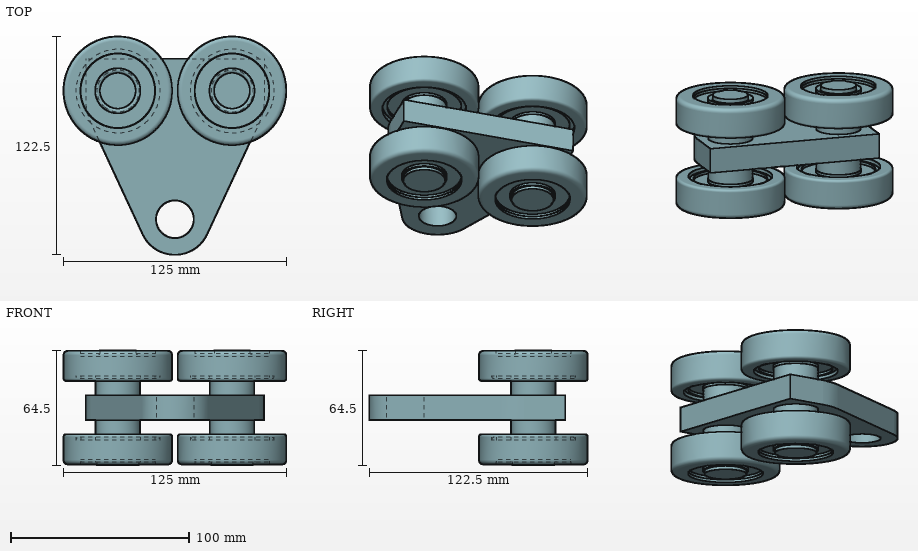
import cadquery as cq
import math

axle_spacing = 64.0
hole_below_axles = 72.0

plate_thickness = 14.0
plate_half_width = 50.0
plate_top_y = 18.0
shoulder_radius = 30.0
shoulder_center_y = -5.2
nose_radius = 20.0
hanger_hole_diameter = 21.0

wheel_diameter = 61.0
wheel_width = 17.0
wheel_inner_face_z = 14.9
outer_edge_radius = 2.5
inner_edge_radius = 1.5
lip_bore_diameter = 42.0

bearing_diameter = 47.0
bearing_width = 14.0
bearing_edge_radius = 1.5
outer_race_bore = 41.6
inner_race_diameter = 25.4
shield_depth = 1.5

pin_diameter = 20.0
pin_length = 64.5
spacer_diameter = 25.0
pin_head_diameter = 23.5

wheel_outer_face_z = wheel_inner_face_z + wheel_width
bearing_inner_face_z = wheel_inner_face_z + (wheel_width - bearing_width) / 2
bearing_outer_face_z = bearing_inner_face_z + bearing_width
pin_end_z = pin_length / 2


def cylinder(diameter, z_start, z_end):
    return cq.Workplane("XY").workplane(offset=z_start).circle(diameter / 2).extrude(z_end - z_start)


def ring(outer_diameter, inner_diameter, z_start, z_end):
    return cylinder(outer_diameter, z_start, z_end).cut(cylinder(inner_diameter, z_start, z_end))


def make_plate():
    """Triangular plate: square top corners, rounded shoulders and a rounded nose around the hole."""
    shoulder_center_x = plate_half_width - shoulder_radius
    drop = shoulder_center_y + hole_below_axles
    center_distance = math.hypot(shoulder_center_x, drop)

    normal_angle = math.atan2(drop, shoulder_center_x) - math.acos(
        (nose_radius - shoulder_radius) / center_distance
    )

    def on_shoulder(angle):
        return (
            shoulder_center_x + shoulder_radius * math.cos(angle),
            shoulder_center_y + shoulder_radius * math.sin(angle),
        )

    def mirrored(point):
        return (-point[0], point[1])

    shoulder_start = on_shoulder(0)
    shoulder_middle = on_shoulder(normal_angle / 2)
    shoulder_end = on_shoulder(normal_angle)
    nose_start = (
        nose_radius * math.cos(normal_angle),
        nose_radius * math.sin(normal_angle) - hole_below_axles,
    )
    nose_tip = (0, -hole_below_axles - nose_radius)
    top_corner = (plate_half_width, plate_top_y)

    outline = (
        cq.Workplane("XY")
        .workplane(offset=-plate_thickness / 2)
        .moveTo(*mirrored(top_corner))
        .lineTo(*top_corner)
        .lineTo(*shoulder_start)
        .threePointArc(shoulder_middle, shoulder_end)
        .lineTo(*nose_start)
        .threePointArc(nose_tip, mirrored(nose_start))
        .lineTo(*mirrored(shoulder_end))
        .threePointArc(mirrored(shoulder_middle), mirrored(shoulder_start))
        .close()
    )
    hole = cylinder(hanger_hole_diameter, -plate_thickness / 2, plate_thickness / 2)
    return outline.extrude(plate_thickness).cut(hole.translate((0, -hole_below_axles, 0)))


def make_wheel():
    """Upper wheel around the Z axis, with its bearing; the bore is filled to take the pin."""
    rim = (
        cylinder(wheel_diameter, wheel_inner_face_z, wheel_outer_face_z)
        .faces(">Z")
        .edges()
        .fillet(outer_edge_radius)
        .faces("<Z")
        .edges()
        .fillet(inner_edge_radius)
    )
    lip_recess = cylinder(lip_bore_diameter, bearing_outer_face_z, wheel_outer_face_z)
    bearing_seat = cylinder(bearing_diameter, wheel_inner_face_z, bearing_outer_face_z)
    bearing = (
        cylinder(bearing_diameter, bearing_inner_face_z, bearing_outer_face_z)
        .faces("<Z")
        .edges()
        .fillet(bearing_edge_radius)
    )
    outer_shield_recess = ring(
        outer_race_bore, inner_race_diameter, bearing_outer_face_z - shield_depth, bearing_outer_face_z
    )
    inner_shield_recess = ring(
        outer_race_bore, inner_race_diameter, bearing_inner_face_z, bearing_inner_face_z + shield_depth
    )
    bearing = bearing.cut(outer_shield_recess).cut(inner_shield_recess)
    return rim.cut(lip_recess).cut(bearing_seat).union(bearing)


def make_race_rounding():
    """Material removed where the bore of the upper inner race is rounded at the free pin end."""
    pin_radius = pin_diameter / 2
    diagonal = bearing_edge_radius * (1 - math.sqrt(0.5))
    return (
        cq.Workplane("XZ")
        .moveTo(pin_radius, bearing_outer_face_z)
        .lineTo(pin_radius, bearing_outer_face_z - bearing_edge_radius)
        .threePointArc(
            (pin_radius + diagonal, bearing_outer_face_z - diagonal),
            (pin_radius + bearing_edge_radius, bearing_outer_face_z),
        )
        .close()
        .revolve(360, (0, 0, 0), (0, 1, 0))
    )


def make_axle():
    """Pin with a head below, the spacers on both sides of the plate, and two wheels."""
    upper_wheel = make_wheel()
    lower_wheel = upper_wheel.mirror("XY")
    spacer = cylinder(spacer_diameter, -bearing_inner_face_z, bearing_inner_face_z)
    pin = cylinder(pin_diameter, -pin_end_z, pin_end_z)
    head = cylinder(pin_head_diameter, -pin_end_z, -bearing_outer_face_z)
    return upper_wheel.cut(make_race_rounding()).union(spacer).union(lower_wheel).union(pin).union(head)


axle = make_axle()
result = make_plate()
for side in (-1, 1):
    result = result.union(axle.translate((side * axle_spacing / 2, 0, 0)))